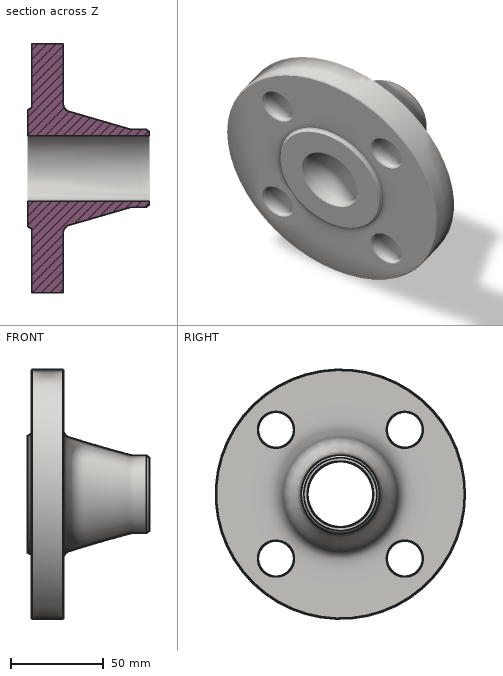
import cadquery as cq
import math

total_length = 66.0
raised_face_height = 2.2
flange_back = 19.6
cone_end = 56.0
weld_bevel_length = 1.8

flange_diameter = 135.0
raised_face_diameter = 63.2
raised_face_base_diameter = 65.6
neck_diameter = 42.3
weld_end_diameter = 39.4
bore_diameter = 35.1
bolt_hole_diameter = 19.0
bolt_circle_diameter = 98.4

cone_base_diameter = 63.5
hub_fillet = 3.9
cone_end_blend = 4.7
flange_chamfer = 0.5
hole_chamfer = 0.4
bolt_count = 4
first_bolt_angle = 45.0

selection_margin = 0.7


def make_flange():
    """Flat disc with chamfered rims, standing on the YZ plane."""
    disc = (
        cq.Workplane("YZ", origin=(raised_face_height, 0, 0))
        .circle(flange_diameter / 2)
        .extrude(flange_back - raised_face_height)
    )
    return disc.edges().chamfer(flange_chamfer)


def make_raised_face():
    """Shallow conical sealing face in front of the flange."""
    outline = [
        (0, 0),
        (0, raised_face_diameter / 2),
        (raised_face_height, raised_face_base_diameter / 2),
        (raised_face_height, 0),
    ]
    return cq.Workplane("XY").polyline(outline).close().revolve(360, (0, 0, 0), (1, 0, 0))


def make_hub():
    """Tapered hub with a cylindrical neck and a bevelled weld end."""
    outline = [
        (flange_back, 0),
        (flange_back, cone_base_diameter / 2),
        (cone_end, neck_diameter / 2),
        (total_length - weld_bevel_length, neck_diameter / 2),
        (total_length, weld_end_diameter / 2),
        (total_length, 0),
    ]
    hub = cq.Workplane("XY").polyline(outline).close().revolve(360, (0, 0, 0), (1, 0, 0))
    cone_end_edge = cq.selectors.BoxSelector(
        (cone_end - selection_margin, -flange_diameter, -flange_diameter),
        (cone_end + selection_margin, flange_diameter, flange_diameter),
    )
    return hub.edges("%CIRCLE").edges(cone_end_edge).fillet(cone_end_blend)


def fillet_hub_root(body):
    """Round the inner corner between the flange back and the cone."""
    root_reach = cone_base_diameter / 2 + selection_margin
    root_edge = cq.selectors.BoxSelector(
        (flange_back - selection_margin, -root_reach, -root_reach),
        (flange_back + selection_margin, root_reach, root_reach),
        boundingbox=True,
    )
    return body.edges(root_edge).fillet(hub_fillet)


def make_hole_cutter(diameter, start, end, y=0.0, z=0.0):
    """Cylinder along X that flares at both ends to chamfer the hole rims."""
    radius = diameter / 2
    rim_radius = radius + hole_chamfer
    outline = [
        (start, 0),
        (start, rim_radius),
        (start + hole_chamfer, radius),
        (end - hole_chamfer, radius),
        (end, rim_radius),
        (end, 0),
    ]
    cutter = cq.Workplane("XY").polyline(outline).close().revolve(360, (0, 0, 0), (1, 0, 0))
    return cutter.translate((0, y, z))


result = make_flange().union(make_raised_face()).union(make_hub())
result = fillet_hub_root(result)
result = result.cut(make_hole_cutter(bore_diameter, 0, total_length))

for index in range(bolt_count):
    angle = math.radians(first_bolt_angle + index * 360 / bolt_count)
    bolt_y = bolt_circle_diameter / 2 * math.cos(angle)
    bolt_z = bolt_circle_diameter / 2 * math.sin(angle)
    bolt_cutter = make_hole_cutter(bolt_hole_diameter, raised_face_height, flange_back, bolt_y, bolt_z)
    result = result.cut(bolt_cutter)